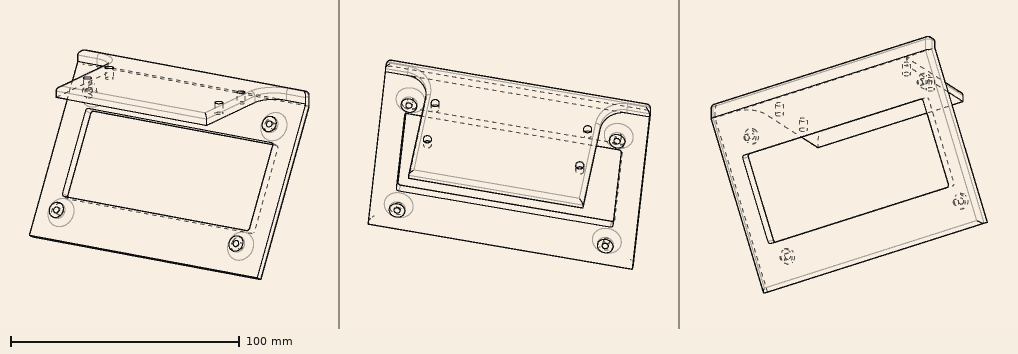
import cadquery as cq
import math

width = 118.0
shelf_depth = 54.3
thickness = 5.0
edge_radius = 2.0
lean = math.radians(30)

rear_wall_height = 7.3
panel_foot_drop = 76.7

shelf_width = 77.9
shelf_corner_radius = 10.0
hole_diameter = 3.5
hole_spacing_x = 68.1
hole_row_setbacks = (18.0, 36.2)

window_width = 96.8
window_bottom = 19.8
window_height = 40.5
window_corner_radius = 1.2

post_diameter = 7.0
post_height = 4.5
post_root_radius = 3.0
post_bore = 2.7
post_spacing_x = 93.0
post_spacing_slope = 55.0
lower_post_height = 12.5

rear_foot_y = -(panel_foot_drop - rear_wall_height) * math.tan(lean)
front_foot_y = rear_foot_y - thickness * math.cos(lean)
front_foot_z = -panel_foot_drop + thickness * math.sin(lean)
wing_front_y = front_foot_y + (-front_foot_z - thickness) * math.tan(lean)

panel_face = cq.Plane(
    origin=(0, front_foot_y, front_foot_z),
    xDir=(1, 0, 0),
    normal=(0, -math.cos(lean), math.sin(lean)),
)


def make_body():
    body = (
        cq.Workplane("YZ")
        .moveTo(0, 0)
        .lineTo(0, -rear_wall_height)
        .lineTo(rear_foot_y, -panel_foot_drop)
        .lineTo(front_foot_y, front_foot_z)
        .lineTo(wing_front_y, -thickness)
        .lineTo(-shelf_depth, -thickness)
        .lineTo(-shelf_depth, 0)
        .close()
        .extrude(width / 2, both=True)
    )
    notch_width = (width - shelf_width) / 2
    notch_depth = shelf_depth + wing_front_y
    for side in (-1, 1):
        notch = (
            cq.Workplane("XY")
            .box(notch_width, notch_depth, thickness, centered=(True, False, False))
            .translate((side * (shelf_width + notch_width) / 2, -shelf_depth, -thickness))
        )
        inner_corner = ">Y and <X" if side > 0 else ">Y and >X"
        notch = notch.edges("|Z").edges(inner_corner).fillet(shelf_corner_radius)
        body = body.cut(notch)
    return body


def round_outer_edges(body):
    """Round the rim of the shelf top and of the rear faces, leaving the bend line sharp."""
    top_rim = body.faces(">Z").edges().vals()
    rear_wall_sides = body.faces(">Y").edges("|Z").vals()
    foot_edge = body.edges("<Z").vals()
    facing_rear = cq.selectors.DirectionSelector(panel_face.zDir * -1)
    panel_rear_sides = body.faces(facing_rear).edges("not |X").vals()
    rim = top_rim + rear_wall_sides + foot_edge + panel_rear_sides
    return body.newObject(rim).fillet(edge_radius)


def on_panel(feature, across, up_slope):
    """Move a feature built about the origin to a spot on the inner panel face."""
    spot = cq.Plane(
        origin=panel_face.toWorldCoords((across, up_slope, 0)),
        xDir=panel_face.xDir,
        normal=panel_face.zDir,
    )
    return cq.Workplane(feature.val().moved(cq.Location(spot)))


def make_shelf_holes():
    points = [
        (side * hole_spacing_x / 2, -setback)
        for side in (-1, 1)
        for setback in hole_row_setbacks
    ]
    return cq.Workplane("XY").pushPoints(points).circle(hole_diameter / 2).extrude(-thickness)


def make_window():
    window = cq.Workplane("XY").rect(window_width, window_height).extrude(-thickness)
    window = window.edges("|Z").fillet(window_corner_radius)
    return on_panel(window, 0, window_bottom + window_height / 2)


def make_post():
    """Standoff about local z, flared at its root and bored down to the panel face."""
    radius = post_diameter / 2
    flare = radius + post_root_radius
    root_arc_offset = post_root_radius * (1 - math.sqrt(0.5))
    return (
        cq.Workplane("XZ")
        .moveTo(post_bore / 2, 0)
        .lineTo(flare, 0)
        .threePointArc((radius + root_arc_offset, root_arc_offset), (radius, post_root_radius))
        .lineTo(radius, post_height)
        .lineTo(post_bore / 2, post_height)
        .close()
        .revolve(360, (0, 0, 0), (0, 1, 0))
    )


result = round_outer_edges(make_body()).cut(make_shelf_holes()).cut(make_window())
for side in (-1, 1):
    for up_slope in (lower_post_height, lower_post_height + post_spacing_slope):
        result = result.union(on_panel(make_post(), side * post_spacing_x / 2, up_slope))